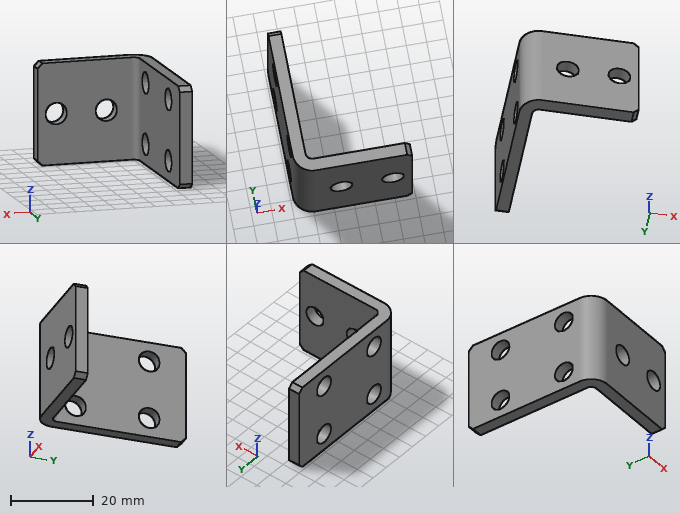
import cadquery as cq

short_leg = 28.58
long_leg = 38.1
height = 25.4
thickness = 3.15
outer_bend_radius = 4.75
inner_bend_radius = outer_bend_radius - thickness
corner_chamfer = 1.25

hole_diameter = 5.35
short_leg_edge_distance = 4.75
short_leg_hole_spacing = 12.7
long_leg_edge_distance = 9.52
long_leg_hole_spacing = 19.05
long_leg_row_spacing = 15.25

outer_hole_x = short_leg - short_leg_edge_distance
short_leg_hole_xs = (outer_hole_x - short_leg_hole_spacing, outer_hole_x)
outer_hole_y = long_leg - long_leg_edge_distance
long_leg_hole_ys = (outer_hole_y - long_leg_hole_spacing, outer_hole_y)
mid_height = height / 2
row_heights = (mid_height - long_leg_row_spacing / 2, mid_height + long_leg_row_spacing / 2)


def bent_plate():
    """L-shaped plate with concentric inner and outer bend radii."""
    plate = (
        cq.Workplane("XY")
        .polyline([
            (0, 0),
            (short_leg, 0),
            (short_leg, thickness),
            (thickness, thickness),
            (thickness, long_leg),
            (0, long_leg),
        ])
        .close()
        .extrude(height)
    )
    plate = plate.edges(cq.selectors.NearestToPointSelector((0, 0, mid_height))).fillet(outer_bend_radius)
    inner_corner = (thickness, thickness, mid_height)
    return plate.edges(cq.selectors.NearestToPointSelector(inner_corner)).fillet(inner_bend_radius)


def chamfer_free_corners(plate):
    """Trim the top and bottom corners at the free end of each leg."""
    plate = plate.faces(">X").edges("|Y").chamfer(corner_chamfer)
    return plate.faces(">Y").edges("|X").chamfer(corner_chamfer)


def hole_cutter(start, direction):
    """Cylinder that passes through one plate thickness."""
    return cq.Solid.makeCylinder(
        hole_diameter / 2, thickness, cq.Vector(*start), cq.Vector(*direction)
    )


result = chamfer_free_corners(bent_plate())

for x in short_leg_hole_xs:
    result = result.cut(hole_cutter((x, 0, mid_height), (0, 1, 0)))

for y in long_leg_hole_ys:
    for z in row_heights:
        result = result.cut(hole_cutter((0, y, z), (1, 0, 0)))